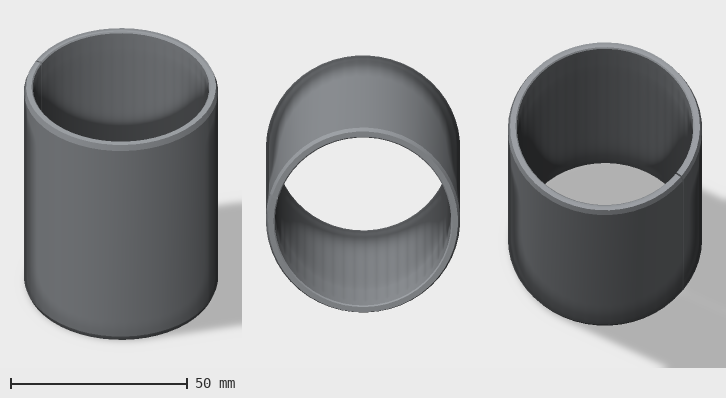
import cadquery as cq

length = 70.0
outer_diameter = 55.0
bore_diameter = 50.0
outer_chamfer_height = 1.7
outer_chamfer_depth = 0.6
inner_chamfer = 0.35
seam_width = 0.5

outer_radius = outer_diameter / 2
bore_radius = bore_diameter / 2
half_length = length / 2


def sleeve():
    """Revolve the wall section, with both edges chamfered at each end."""
    wall_section = [
        (bore_radius, -half_length + inner_chamfer),
        (bore_radius + inner_chamfer, -half_length),
        (outer_radius - outer_chamfer_depth, -half_length),
        (outer_radius, -half_length + outer_chamfer_height),
        (outer_radius, half_length - outer_chamfer_height),
        (outer_radius - outer_chamfer_depth, half_length),
        (bore_radius + inner_chamfer, half_length),
        (bore_radius, half_length - inner_chamfer),
    ]
    return cq.Workplane("XZ").polyline(wall_section).close().revolve(360, (0, 0), (0, 1))


def seam():
    """Full-length slit through the wall at -X, with one face on the XZ plane and the gap toward +Y."""
    cutter = cq.Workplane("XY").box(outer_radius, seam_width, length)
    return cutter.translate((-outer_radius, seam_width / 2, 0))


result = sleeve().cut(seam())